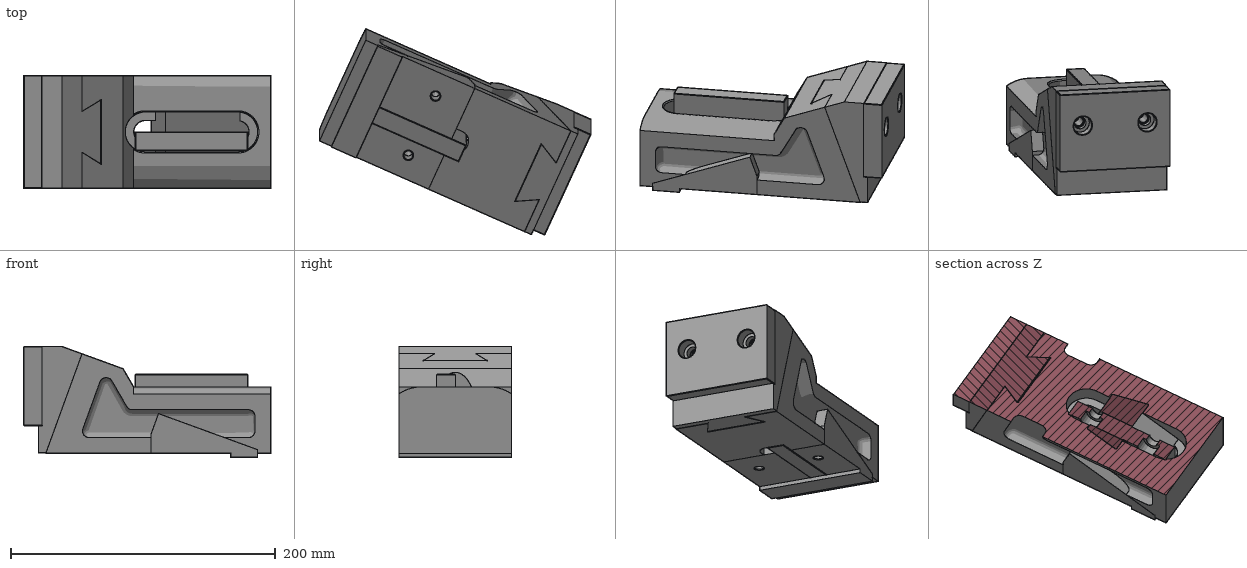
import cadquery as cq
import math

length = 186.8
width = 85.2
height = 83.9
tilt = 20.0
tan_tilt = math.tan(math.radians(tilt))
cos_tilt = math.cos(math.radians(tilt))
chamfer_angle = 45.0
overshoot = 9.3

plate_thickness = 14.0
plate_height = 60.0
plate_edge_chamfer = 0.5
screw_spacing = 50.0
screw_drop = 24.7
counterbore_diameter = 14.0
counterbore_depth = 9.0
counterbore_chamfer = 0.5
clearance_diameter = 9.0

slide_height = 80.5
slide_flat = 15.0
step_depth = 3.0
toe_depth = 5.8
tapped_diameter = 6.7
tapped_mouth_chamfer = 0.65
tapped_depth = 15.0
drill_point_angle = 118.0

dovetail_root = 31.0
dovetail_depth = 15.0
dovetail_flank = 30.0
dovetail_gap = 0.5

base_bottom = step_depth
deck_z = 53.2
deck_edge_z = 48.0
deck_start_x = 83.1
shoulder_radius = 29.9
hump_angle = 60.0
tan_hump = math.tan(math.radians(hump_angle))
slot_center_x = 126.8
slot_travel = 70.0
slot_width = 30.0
slot_chamfer = 1.0
ledge_z = 26.5
lower_slot_width = 17.0
pocket_wall = 12.0
pocket_front_wall = 20.0
pocket_depth = 9.0
pocket_radius = 5.0

slide_z = height - slide_height
plate_z = height - plate_height
stored_slide_end_x = 176.9

toe_x = toe_depth - step_depth
ridge_z = (slide_height + tan_tilt * (slide_flat - toe_x)) / (1 + tan_tilt**2)
ridge_x = toe_x + ridge_z * tan_tilt


def side_profile(points):
    """Outline in X and Z, extruded over the full width."""
    return cq.Workplane("XZ").polyline(points).close().extrude(width / 2, both=True)


def cylinder_along_x(diameter, start_x, depth, y, z):
    return cq.Workplane("YZ", origin=(start_x, y, z)).circle(diameter / 2).extrude(depth)



def plate_blank():
    blank = cq.Workplane("XY").box(plate_thickness, width, plate_height, centered=(False, True, False))
    blank = blank.translate((-plate_thickness, 0, 0))
    return blank.faces("|Z").edges().chamfer(plate_edge_chamfer)


def screw_hole(y):
    """Counterbored hole with a chamfered mouth on the clamping face."""
    z = plate_height - screw_drop
    hole = cylinder_along_x(clearance_diameter, -plate_thickness, plate_thickness, y, z)
    counterbore = cylinder_along_x(counterbore_diameter, -plate_thickness, counterbore_depth, y, z)
    mouth_radius = counterbore_diameter / 2 + counterbore_chamfer
    mouth = (
        cq.Workplane("YZ", origin=(-plate_thickness, y, z))
        .circle(mouth_radius)
        .extrude(counterbore_chamfer, taper=chamfer_angle)
    )
    return hole.union(counterbore).union(mouth)


def jaw_plate():
    plate = plate_blank()
    for y in (-screw_spacing / 2, screw_spacing / 2):
        plate = plate.cut(screw_hole(y))
    return plate



def dovetail(depth, end_overshoot):
    """Dovetail along the tilted face, from below the toe up to the ridge plus an overshoot."""
    half_root = dovetail_root / 2
    half_tip = half_root + depth * math.tan(math.radians(dovetail_flank))
    along = (math.sin(math.radians(tilt)), 0, cos_tilt)
    outward = (cos_tilt, 0, -math.sin(math.radians(tilt)))
    start = (toe_x - overshoot * along[0], 0, -overshoot * along[2])
    outline = [(0, -half_root), (depth, -half_tip), (depth, half_tip), (0, half_root)]
    run = overshoot + ridge_z / cos_tilt + end_overshoot
    return cq.Workplane(cq.Plane(start, outward, along)).polyline(outline).close().extrude(run)


def slide_blank():
    step_top = slide_height - plate_height
    wedge = side_profile([
        (-step_depth, 0),
        (toe_x, 0),
        (ridge_x, ridge_z),
        (slide_flat, slide_height),
        (0, slide_height),
        (0, step_top),
        (-step_depth, step_top),
    ])
    below = cq.Workplane("XY").box(length, width, length).translate((0, 0, -length / 2))
    return wedge.union(dovetail(dovetail_depth, 0).cut(below))


def tapped_hole(y):
    """Blind hole with a chamfered mouth and a drill point at its end."""
    radius = tapped_diameter / 2
    point = radius / math.tan(math.radians(drill_point_angle / 2))
    outline = [
        (0, 0),
        (tapped_depth + point, 0),
        (tapped_depth, radius),
        (tapped_mouth_chamfer, radius),
        (0, radius + tapped_mouth_chamfer),
    ]
    hole = cq.Workplane("XZ").polyline(outline).close().revolve(360, (0, 0), (1, 0))
    return hole.translate((0, y, slide_height - screw_drop))


def slide():
    body = slide_blank()
    for y in (-screw_spacing / 2, screw_spacing / 2):
        body = body.cut(tapped_hole(y))
    return body



def place_working_slide(body):
    return body.translate((plate_thickness, 0, slide_z))


def place_stored_slide(body):
    """Seat down, top end toward the front."""
    return body.rotate((0, 0, 0), (0, 1, 0), -90).translate((stored_slide_end_x, 0, base_bottom))


def place_working_plate(body):
    return body.translate((plate_thickness, 0, plate_z))


def place_stored_plate(body):
    """Lengthwise in the slot, with its seat on the middle plane and its bottom level with the base."""
    return body.rotate((0, 0, 0), (0, 0, 1), 90).translate((slot_center_x, 0, base_bottom))



base_toe_x = plate_thickness + toe_x + (base_bottom - slide_z) * tan_tilt
base_ridge_x = plate_thickness + ridge_x
base_ridge_z = slide_z + ridge_z
hump_x = (base_ridge_z + base_ridge_x * tan_tilt - deck_z - deck_start_x * tan_hump) / (tan_tilt - tan_hump)
hump_z = deck_z + (deck_start_x - hump_x) * tan_hump


def base_block():
    return side_profile([
        (base_toe_x, base_bottom),
        (base_ridge_x, base_ridge_z),
        (hump_x, hump_z),
        (deck_start_x, deck_z),
        (length, deck_z),
        (length, base_bottom),
    ])


def shoulder_cut(side):
    """Rounds one long edge of the deck with an arc tangent to the deck."""
    drop = deck_z - deck_edge_z
    reach = math.sqrt(shoulder_radius**2 - (shoulder_radius - drop) ** 2)
    half_angle = math.asin(reach / shoulder_radius) / 2
    edge_y = width / 2
    arc_start_y = edge_y - reach
    arc_mid_y = arc_start_y + shoulder_radius * math.sin(half_angle)
    arc_mid_z = deck_z - shoulder_radius * (1 - math.cos(half_angle))
    return (
        cq.Workplane("YZ", origin=(deck_start_x, 0, 0))
        .moveTo(side * arc_start_y, deck_z)
        .threePointArc((side * arc_mid_y, arc_mid_z), (side * edge_y, deck_edge_z))
        .lineTo(side * edge_y, height)
        .lineTo(side * arc_start_y, height)
        .close()
        .extrude(length - deck_start_x)
    )


def slot_prism(slot_size, bottom, top):
    plane = cq.Workplane("XY", origin=(slot_center_x, 0, bottom))
    return plane.slot2D(slot_travel + slot_size, slot_size).extrude(top - bottom)


def stepped_slot():
    upper = slot_prism(slot_width, ledge_z, height)
    lower = slot_prism(lower_slot_width, base_bottom, ledge_z)
    return upper.union(lower)


def slot_mouth():
    """Chamfer of the slot along the deck; it stops where the hump begins."""
    plane = cq.Workplane("XY", origin=(slot_center_x, 0, deck_z - slot_chamfer))
    mouth = plane.slot2D(slot_travel + slot_width, slot_width).extrude(slot_chamfer, taper=-chamfer_angle)
    deck = cq.Workplane("XY").box(length, width, height, centered=(False, True, False))
    return mouth.intersect(deck.translate((deck_start_x, 0, 0)))


def pocket(side):
    """Lightening pocket in one side face, with rounded corners and a rounded floor edge."""
    bottom = base_bottom + pocket_wall
    top = deck_edge_z - pocket_wall
    rear = length - pocket_wall
    front_at_bottom = base_toe_x + pocket_front_wall / cos_tilt + pocket_wall * tan_tilt
    slope_inset = pocket_wall / math.sin(math.radians(hump_angle))
    slope_x = deck_start_x - slope_inset + (deck_z - top) / tan_hump
    peak_rise = (slope_x - front_at_bottom + (top - bottom) / tan_hump) / (tan_tilt + 1 / tan_hump)
    outline = [
        (front_at_bottom, bottom),
        (rear, bottom),
        (rear, top),
        (slope_x, top),
        (front_at_bottom + peak_rise * tan_tilt, bottom + peak_rise),
    ]
    plane = cq.Workplane("XZ", origin=(0, width / 2, 0))
    cutter = plane.polyline(outline).close().extrude(pocket_depth)
    cutter = cutter.edges("|Y").fillet(pocket_radius)
    cutter = cutter.faces("<Y").edges().fillet(pocket_radius)
    return cutter if side > 0 else cutter.mirror("XZ")


def base():
    body = base_block()
    body = body.cut(place_working_slide(dovetail(dovetail_depth + dovetail_gap, overshoot)))
    for side in (-1, 1):
        body = body.cut(shoulder_cut(side))
        body = body.cut(pocket(side))
    body = body.cut(stepped_slot()).cut(slot_mouth())
    body = body.cut(place_stored_slide(slide_blank()))
    return body.cut(place_stored_plate(plate_blank()))



base_body = base()
slides = [
    place_working_slide(slide()),
    place_stored_slide(slide()).cut(place_stored_plate(plate_blank())),
]
plates = [place(jaw_plate()) for place in (place_working_plate, place_stored_plate)]
result = cq.Compound.makeCompound([body.val() for body in [base_body, *slides, *plates]])